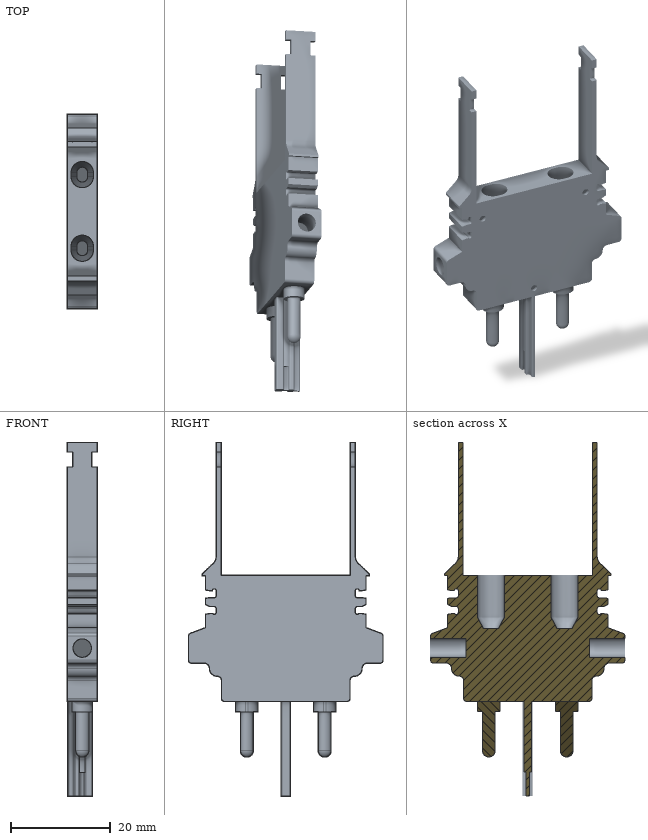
import cadquery as cq

thickness = 6.0
total_height = 70.9
half_width = 19.5

deck_z = 25.3
arm_top_z = 51.9

arm_inner_y = 12.9
arm_outer_y = 14.0
neck_y = 16.1
barb_y = 16.7
step_y = 15.3

barb_top_z = 25.6
barb_bottom_z = 25.2
slope_top_z = 28.2
barb_blend = 1.8

shoulder_top_z = 14.8
shoulder_edge_z = 13.55
shoulder_bottom_z = 7.65
corner_radius = 0.65

shoulder_fillet = 1.0
step_radius = 1.6
base_fillet = step_y - step_radius - arm_inner_y
step_top_z = shoulder_bottom_z - shoulder_fillet
step_bottom_z = step_top_z - step_radius

groove_floor_y = arm_outer_y
throat_y = 15.25
groove_mouths = [(20.7, 22.3), (17.5, 19.4)]
groove_throats = [(20.85, 22.2), (17.65, 19.0)]
groove_pockets = [(20.85, 22.55), (17.5, 19.0)]
pocket_y = 14.7
pocket_radius = 0.32

notch_depth = 1.05
notch_height = 3.0
notch_drop = 1.9

socket_y = 7.4
socket_width = 4.5
socket_floor_width = 2.2
socket_straight_depth = 8.5
funnel_depth = 2.1
oval_straight = 0.8

end_hole_diameter = 3.7
end_hole_depth = 7.1
end_hole_z = 10.7
dimple_diameter = 1.35
dimple_depth = 0.7
dimple_places = [(-11.5, 21.35), (11.5, 21.35), (0, 1.9)]

strip_length = total_height - arm_top_z
strip_left_x = -2.9
strip_right_x = 2.05
web_half = 0.35
ridge_half = 1.0
left_ridge = (-1.7, -1.5, -0.65, -0.4)
right_ridge = (0.4, 0.65)
strip_rounding = 0.2

rib_half = 0.85
rib_width = 1.05
rib_crown = 0.1
rib_length = 14.2

pin_y = 7.8
pin_diameter = 2.6
pin_length = 11.1
collar_width = 4.1
collar_straight = 0.4
collar_height = 2.05


def edge_at(y, z):
    """Selector for the edge along X that passes through (0, y, z)."""
    reach = 0.035
    return cq.selectors.BoxSelector(
        (-thickness, y - reach, z - reach), (thickness, y + reach, z + reach)
    )


def oval(width, straight):
    """Stadium sketch, long along Y, to place on a horizontal plane."""
    return cq.Sketch().slot(straight, width, angle=90)


def make_half_plate():
    """Housing plate on the +Y side, with its arm, barb, shoulder and rounded step."""
    plate = (
        cq.Workplane("YZ")
        .moveTo(0, 0)
        .lineTo(arm_inner_y, 0)
        .lineTo(arm_inner_y, step_bottom_z - base_fillet)
        .radiusArc((arm_inner_y + base_fillet, step_bottom_z), base_fillet)
        .radiusArc((step_y, step_top_z), -step_radius)
        .radiusArc((step_y + shoulder_fillet, shoulder_bottom_z), shoulder_fillet)
        .lineTo(half_width, shoulder_bottom_z)
        .lineTo(half_width, shoulder_edge_z)
        .lineTo(neck_y, shoulder_top_z)
        .lineTo(neck_y, barb_bottom_z)
        .lineTo(barb_y, barb_bottom_z)
        .lineTo(barb_y, barb_top_z)
        .lineTo(arm_outer_y, slope_top_z)
        .lineTo(arm_outer_y, arm_top_z)
        .lineTo(arm_inner_y, arm_top_z)
        .lineTo(arm_inner_y, deck_z)
        .lineTo(0, deck_z)
        .close()
        .extrude(thickness / 2, both=True)
    )
    for y, z in [(arm_inner_y, 0), (half_width, shoulder_bottom_z), (half_width, shoulder_edge_z)]:
        plate = plate.edges(edge_at(y, z)).fillet(corner_radius)
    return plate.edges(edge_at(arm_outer_y, slope_top_z)).fillet(barb_blend)


def make_grip_groove(mouth, throat, pocket):
    """Cutter for one grip groove: a tapered mouth opening into a rounded pocket."""
    entry = (
        cq.Workplane("YZ")
        .polyline(
            [
                (neck_y, mouth[0]),
                (throat_y, throat[0]),
                (groove_floor_y + pocket_radius, throat[0]),
                (groove_floor_y + pocket_radius, throat[1]),
                (throat_y, throat[1]),
                (neck_y, mouth[1]),
            ]
        )
        .close()
        .extrude(thickness / 2, both=True)
    )
    hollow = (
        cq.Workplane("YZ")
        .center((groove_floor_y + pocket_y) / 2, (pocket[0] + pocket[1]) / 2)
        .rect(pocket_y - groove_floor_y, pocket[1] - pocket[0])
        .extrude(thickness / 2, both=True)
        .edges("|X")
        .fillet(pocket_radius)
    )
    return entry.union(hollow)


def make_arm_notches():
    """Cutters for the notches in both side faces of both arms."""
    return (
        cq.Workplane("XY", origin=(0, 0, arm_top_z - notch_drop - notch_height / 2))
        .pushPoints([(-thickness / 2, 0), (thickness / 2, 0)])
        .box(2 * notch_depth, 2 * half_width, notch_height)
    )


def make_socket(y):
    """Cutter for one oval socket: a straight bore above a funnel of two half cones and a wedge."""
    top_radius = socket_width / 2
    floor_radius = socket_floor_width / 2
    funnel_z = deck_z - socket_straight_depth
    floor_z = funnel_z - funnel_depth
    socket = (
        cq.Workplane("XY", origin=(0, y, deck_z))
        .placeSketch(oval(socket_width, oval_straight))
        .extrude(-socket_straight_depth)
    )
    wedge = (
        cq.Workplane("XZ", origin=(0, y + oval_straight / 2, 0))
        .polyline(
            [
                (-floor_radius, floor_z),
                (floor_radius, floor_z),
                (top_radius, funnel_z),
                (-top_radius, funnel_z),
            ]
        )
        .close()
        .extrude(oval_straight)
    )
    socket = socket.union(wedge)
    for end_y in (y - oval_straight / 2, y + oval_straight / 2):
        cone = cq.Solid.makeCone(floor_radius, top_radius, funnel_depth, cq.Vector(0, end_y, floor_z))
        socket = socket.union(cq.Workplane(cone))
    return socket


def make_end_holes():
    """Cutters for the blind round holes in the two shoulder ends."""
    hole = (
        cq.Workplane("XZ", origin=(0, -half_width, end_hole_z))
        .circle(end_hole_diameter / 2)
        .extrude(-end_hole_depth)
    )
    return hole.union(hole.mirror("XZ"))


def make_dimples():
    """Cutters for the three shallow round dimples in the -X face."""
    return (
        cq.Workplane("YZ", origin=(-thickness / 2, 0, 0))
        .pushPoints(dimple_places)
        .circle(dimple_diameter / 2)
        .extrude(dimple_depth)
    )


def make_coding_strip():
    """Ridged strip that hangs from the underside, symmetric about Y = 0."""
    side = [
        (strip_left_x, web_half),
        (left_ridge[0], web_half),
        (left_ridge[1], ridge_half),
        (left_ridge[2], ridge_half),
        (left_ridge[3], web_half),
        (right_ridge[0], web_half),
        (right_ridge[1], ridge_half),
        (strip_right_x, ridge_half),
    ]
    other_side = [(x, -y) for x, y in reversed(side)]
    strip = cq.Workplane("XY").polyline(side + other_side).close().extrude(-strip_length)
    strip = strip.edges("|Z").fillet(strip_rounding)
    rib = (
        cq.Workplane("XY")
        .moveTo(-rib_width / 2, 0)
        .lineTo(-rib_width / 2, rib_crown - rib_half)
        .threePointArc((0, -rib_half), (rib_width / 2, rib_crown - rib_half))
        .lineTo(rib_width / 2, 0)
        .close()
        .extrude(-rib_length)
    )
    return strip.union(rib).union(rib.mirror("XZ"))


def make_housing():
    half = make_half_plate()
    for mouth, throat, pocket in zip(groove_mouths, groove_throats, groove_pockets):
        half = half.cut(make_grip_groove(mouth, throat, pocket))
    plate = half.union(half.mirror("XZ"))
    for cutter in [make_arm_notches(), make_end_holes(), make_dimples()]:
        plate = plate.cut(cutter)
    for y in (-socket_y, socket_y):
        plate = plate.cut(make_socket(y))
    return plate.union(make_coding_strip())


def make_pin(y):
    """Round contact pin with a hemispherical tip and an oval collar under the housing."""
    collar = (
        cq.Workplane("XY", origin=(0, y, 0))
        .placeSketch(oval(collar_width, collar_straight))
        .extrude(-collar_height)
    )
    shank = (
        cq.Workplane("XY", origin=(0, y, 0))
        .circle(pin_diameter / 2)
        .extrude(-(pin_length - pin_diameter / 2))
    )
    tip = cq.Workplane("XY", origin=(0, y, pin_diameter / 2 - pin_length)).sphere(pin_diameter / 2)
    return collar.union(shank).union(tip)


housing = make_housing()
pins = [make_pin(y) for y in (-pin_y, pin_y)]

result = cq.Compound.makeCompound([housing.val(), *[pin.val() for pin in pins]])